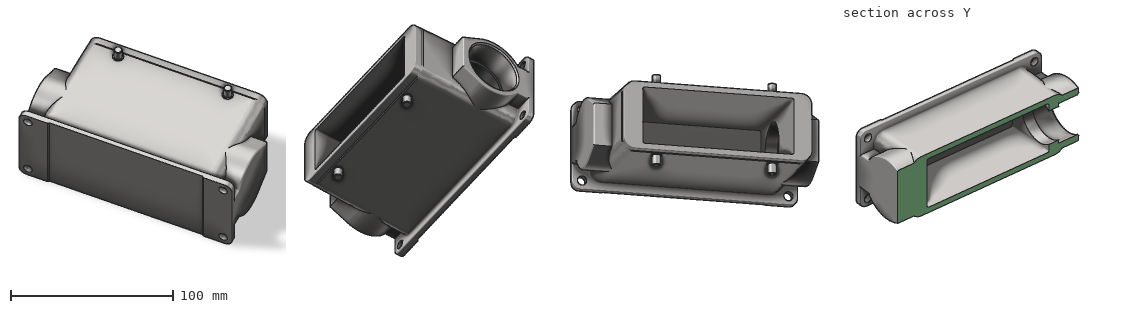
import cadquery as cq
import math


PLATE_LENGTH = 144.0
PLATE_HEIGHT = 56.5
PLATE_THICKNESS = 4.3
PLATE_CORNER_RADIUS = 5.0
PLATE_EDGE_FILLET = 0.7
SCREW_X = 66.0
SCREW_Z = 22.5
SCREW_HOLE_DIAMETER = 5.8
RECESS_DEPTH = 0.9
RECESS_FLOOR_LENGTH = 103.1
RECESS_MOUTH_LENGTH = 105.4

BODY_BASE_LENGTH = 122.4
BODY_BASE_HEIGHT = 45.4
BODY_BACK_LENGTH = 120.4
BODY_BACK_HEIGHT = 43.9
BODY_CORNER_RADIUS = 7.6
BODY_BACK_Y = 74.6
BODY_ROOT_FILLET = 0.7
LIP_INSET = 0.36
LIP_SHOULDER_LENGTH = 0.9
LIP_CORNER_RADIUS = 6.8
LIP_EDGE_FILLET = 0.5
TOTAL_DEPTH = 80.5

BOSS_RADIUS = 22.3
BOSS_AXIS_Y = 30.1
BOSS_FLAT_Y = 53.1
BOSS_TANGENT_Y = 40.0
BOSS_INNER_X = 51.8
BOSS_EDGE_FILLET = 1.2
WEB_HALF_HEIGHT = 12.4
WEB_CORNER_FILLET = 0.7

BORE_RADIUS = 17.9
BORE_DEPTH = 15.8
BORE_CHAMFER = 1.0
INNER_BORE_RADIUS = 16.0

CAVITY_END_X = 48.2
CAVITY_WALL = 3.6
CAVITY_CORNER_RADIUS = 1.5

PIN_X = 37.0
PIN_Y = 71.0
PIN_RADIUS = 2.6
PIN_TIP_Z = 28.8
PIN_CHAMFER = 0.5
COLLAR_RADIUS = 3.5
COLLAR_TOP_Z = 22.5

lip_length = BODY_BACK_LENGTH - 2 * LIP_INSET
lip_height = BODY_BACK_HEIGHT - 2 * LIP_INSET
end_x = PLATE_LENGTH / 2


def across_y(y):
    """Workplane at height y, facing +Y, with X as its first direction."""
    return cq.Workplane(cq.Plane(origin=(0, y, 0), xDir=(1, 0, 0), normal=(0, 1, 0)))


def rounded_rectangle(length, height, radius):
    return cq.Sketch().rect(length, height).vertices().fillet(radius)


def rounded_loft(start_y, end_y, start, end):
    """Loft between two rounded rectangles given as (length, height, corner radius)."""
    far = rounded_rectangle(*end).moved(cq.Location(cq.Vector(0, 0, end_y - start_y)))
    return across_y(start_y).placeSketch(rounded_rectangle(*start), far).loft(ruled=True)


def rounded_block(start_y, end_y, length, height, radius):
    outline = rounded_rectangle(length, height, radius)
    return across_y(start_y).placeSketch(outline).extrude(end_y - start_y)


def plate():
    block = rounded_block(0, PLATE_THICKNESS, PLATE_LENGTH, PLATE_HEIGHT, PLATE_CORNER_RADIUS)
    return block.faces(">Y").edges().fillet(PLATE_EDGE_FILLET)


def body():
    base = (BODY_BASE_LENGTH, BODY_BASE_HEIGHT, BODY_CORNER_RADIUS)
    back = (BODY_BACK_LENGTH, BODY_BACK_HEIGHT, BODY_CORNER_RADIUS)
    lip_outline = (lip_length, lip_height, LIP_CORNER_RADIUS)
    lip_y = BODY_BACK_Y + LIP_SHOULDER_LENGTH
    shell = rounded_loft(PLATE_THICKNESS, BODY_BACK_Y, base, back)
    shoulder = rounded_loft(BODY_BACK_Y, lip_y, back, lip_outline)
    lip = rounded_block(lip_y, TOTAL_DEPTH, *lip_outline)
    lip = lip.faces(">Y").edges().fillet(LIP_EDGE_FILLET)
    return shell.union(shoulder).union(lip)


def boss():
    """+X boss: a round tube with a tapered flat side and a web down to the plate."""
    tangent_rise = BOSS_TANGENT_Y - BOSS_AXIS_Y
    tangent_z = math.sqrt(BOSS_RADIUS**2 - tangent_rise**2)
    flat_rise = BOSS_FLAT_Y - BOSS_AXIS_Y
    flat_z = (BOSS_RADIUS**2 - tangent_rise * flat_rise) / tangent_z
    web_y = BOSS_AXIS_Y - math.sqrt(BOSS_RADIUS**2 - WEB_HALF_HEIGHT**2)
    outline = (
        cq.Workplane("YZ", origin=(BOSS_INNER_X, 0, 0))
        .moveTo(0, WEB_HALF_HEIGHT)
        .lineTo(web_y, WEB_HALF_HEIGHT)
        .threePointArc((BOSS_AXIS_Y, BOSS_RADIUS), (BOSS_TANGENT_Y, tangent_z))
        .lineTo(BOSS_FLAT_Y, flat_z)
        .lineTo(BOSS_FLAT_Y, -flat_z)
        .lineTo(BOSS_TANGENT_Y, -tangent_z)
        .threePointArc((BOSS_AXIS_Y, -BOSS_RADIUS), (web_y, -WEB_HALF_HEIGHT))
        .lineTo(0, -WEB_HALF_HEIGHT)
        .close()
    )
    block = outline.extrude(end_x - BOSS_INNER_X)
    middle_x = (end_x + BOSS_INNER_X) / 2
    for side in (-1, 1):
        corner = (middle_x, web_y, side * WEB_HALF_HEIGHT)
        block = block.edges(cq.selectors.NearestToPointSelector(corner)).fillet(WEB_CORNER_FILLET)
    return block.faces(">X").edges("not <Y").fillet(BOSS_EDGE_FILLET)


def pin(x, side):
    """Locking pin with a collar at its foot; side is +1 or -1 along Z."""
    shaft = cq.Workplane("XY").circle(PIN_RADIUS).extrude(PIN_TIP_Z).faces(">Z").chamfer(PIN_CHAMFER)
    collar = cq.Workplane("XY").circle(COLLAR_RADIUS).extrude(COLLAR_TOP_Z)
    upright = shaft.union(collar)
    if side < 0:
        upright = upright.mirror("XY")
    return upright.translate((x, PIN_Y, 0))


def front_recess():
    """Shallow recess across the mounting face, with sloping ends."""
    return (
        cq.Workplane("XY")
        .polyline([
            (-RECESS_MOUTH_LENGTH / 2, 0),
            (RECESS_MOUTH_LENGTH / 2, 0),
            (RECESS_FLOOR_LENGTH / 2, RECESS_DEPTH),
            (-RECESS_FLOOR_LENGTH / 2, RECESS_DEPTH),
        ])
        .close()
        .extrude(PLATE_HEIGHT / 2, both=True)
    )


def screw_holes():
    centres = [(x, z) for x in (-SCREW_X, SCREW_X) for z in (-SCREW_Z, SCREW_Z)]
    return across_y(0).pushPoints(centres).circle(SCREW_HOLE_DIAMETER / 2).extrude(PLATE_THICKNESS)


def cavity():
    floor_y = RECESS_DEPTH + CAVITY_WALL
    height = lip_height - 2 * CAVITY_WALL
    return rounded_block(floor_y, TOTAL_DEPTH, 2 * CAVITY_END_X, height, CAVITY_CORNER_RADIUS)


def cable_bore():
    """Chamfered bore with a shoulder, opening from the -X end into the cavity."""
    mouth_radius = BORE_RADIUS + BORE_CHAMFER
    mouth_x = -end_x
    shoulder_x = mouth_x + BORE_DEPTH
    half_section = [
        (mouth_x, BOSS_AXIS_Y),
        (mouth_x, BOSS_AXIS_Y + mouth_radius),
        (mouth_x + BORE_CHAMFER, BOSS_AXIS_Y + BORE_RADIUS),
        (shoulder_x, BOSS_AXIS_Y + BORE_RADIUS),
        (shoulder_x, BOSS_AXIS_Y + INNER_BORE_RADIUS),
        (-CAVITY_END_X, BOSS_AXIS_Y + INNER_BORE_RADIUS),
        (-CAVITY_END_X, BOSS_AXIS_Y),
    ]
    profile = cq.Workplane("XY").polyline(half_section).close()
    return profile.revolve(360, (0, BOSS_AXIS_Y, 0), (1, BOSS_AXIS_Y, 0))


housing = plate().union(body())
root_margin = 0.1
root_x = BODY_BASE_LENGTH / 2 + root_margin
root_z = BODY_BASE_HEIGHT / 2 + root_margin
root_edges = cq.selectors.BoxSelector(
    (-root_x, PLATE_THICKNESS - root_margin, -root_z),
    (root_x, PLATE_THICKNESS + root_margin, root_z),
)
housing = housing.edges(root_edges).fillet(BODY_ROOT_FILLET)

right_boss = boss()
housing = housing.union(right_boss).union(right_boss.mirror("YZ"))
for pin_x in (-PIN_X, PIN_X):
    for pin_side in (-1, 1):
        housing = housing.union(pin(pin_x, pin_side))

result = housing.cut(front_recess()).cut(screw_holes()).cut(cavity()).cut(cable_bore())